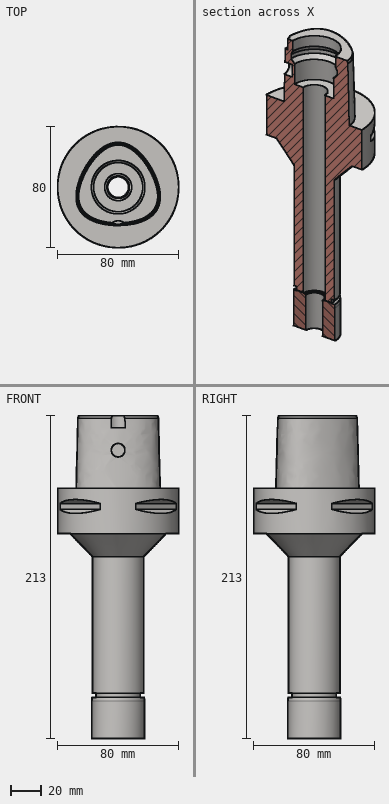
import cadquery as cq
import math

total_length = 213.0
shank_length = 47.7
flange_thickness = 30.0
cone_length = 15.1
shaft_bottom_z = 30.0
flange_top_z = total_length - shank_length
flange_bottom_z = flange_top_z - flange_thickness
cone_bottom_z = flange_bottom_z - cone_length

flange_radius = 40.0
cone_top_radius = 31.7
shaft_radius = 17.0
neck_radius = 14.7

shank_base_radius = 27.5
shank_taper = 1 / 40
lobe_height = 2.1
rim_chamfer_height = 1.7
rim_chamfer_width = 0.6
outline_points = 24

mouth_radius = 17.7
undercut_radius = 19.2
bore_radius = 16.2
lip_depth = 7.9
undercut_start_depth = 10.9
undercut_end_depth = 13.8
bore_depth = 32.0
through_radius = 9.0

keyway_radius = 6.4
keyway_depth = 8.0
keyway_floor_y = -22.2
side_hole_radius = 4.5
side_hole_z = total_length - 22.8
side_hole_floor_y = -18.3

slot_count = 4
slot_first_angle = 45
slot_floor_distance = 35.4
slot_floor_height = 3.8
slot_wall_angle = 30
slot_center_z = total_length - 59.9

nut_radius = 17.5
nut_height = 27.3
collar_height = 2.1
collar_top_radius = 17.3
nut_bore_radius = 6.8
nut_bore_chamfer = 0.6


def lobed_section(mean_radius, z):
    """Closed three-lobed outline with one lobe pointing along +Y."""
    points = []
    for i in range(outline_points):
        angle = 2 * math.pi * i / outline_points - math.pi / 2
        x = mean_radius * math.cos(angle) - lobe_height * math.sin(2 * angle)
        y = mean_radius * math.sin(angle) - lobe_height * math.cos(2 * angle)
        points.append(cq.Vector(x, y, z))
    return cq.Wire.assembleEdges([cq.Edge.makeSpline(points, periodic=True)])


def make_shank():
    """Tapered shank with a chamfered rim."""
    rim_z = total_length - rim_chamfer_height
    rim_radius = shank_base_radius - shank_taper * (rim_z - flange_top_z)
    base = lobed_section(shank_base_radius, flange_top_z)
    rim = lobed_section(rim_radius, rim_z)
    end = lobed_section(rim_radius - rim_chamfer_width, total_length)
    taper = cq.Workplane(obj=cq.Solid.makeLoft([base, rim], True))
    return taper.union(cq.Workplane(obj=cq.Solid.makeLoft([rim, end], True)))


def revolve_profile(points):
    """Turn a closed (radius, z) profile around the Z axis."""
    return cq.Workplane("XZ").polyline(points).close().revolve(360, (0, 0), (0, 1))


def make_turned_body():
    """Flange, cone, shaft and the neck that stands on the nut."""
    return revolve_profile([
        (0, flange_top_z),
        (flange_radius, flange_top_z),
        (flange_radius, flange_bottom_z),
        (cone_top_radius, flange_bottom_z),
        (shaft_radius, cone_bottom_z),
        (shaft_radius, shaft_bottom_z),
        (neck_radius, shaft_bottom_z),
        (neck_radius, nut_height),
        (0, nut_height),
    ])


def make_bore():
    """Stepped bore with a sloping-sided undercut, and the through hole."""
    lower_cone = undercut_radius - bore_radius
    lip_z = total_length - lip_depth
    undercut_top_z = total_length - undercut_start_depth
    undercut_bottom_z = total_length - undercut_end_depth
    bore_floor_z = total_length - bore_depth
    return revolve_profile([
        (0, total_length),
        (mouth_radius, total_length),
        (mouth_radius, lip_z),
        (undercut_radius, undercut_top_z),
        (undercut_radius, undercut_bottom_z),
        (bore_radius, undercut_bottom_z - lower_cone),
        (bore_radius, bore_floor_z),
        (through_radius, bore_floor_z),
        (through_radius, nut_height),
        (0, nut_height),
    ])


def make_keyway():
    """Round-backed notch in the rim."""
    return (
        cq.Workplane("XY", origin=(0, keyway_floor_y - keyway_radius, total_length - keyway_depth))
        .circle(keyway_radius)
        .extrude(keyway_depth)
    )


def make_side_hole():
    """Blind radial hole with a flat floor."""
    return (
        cq.Workplane("XZ", origin=(0, side_hole_floor_y, side_hole_z))
        .circle(side_hole_radius)
        .extrude(flange_radius)
    )


def make_gripper_slot(angle):
    """Straight slot with sloping walls, cut into the flange at the given angle."""
    floor_half = slot_floor_height / 2
    slot_depth = flange_radius - slot_floor_distance
    mouth_half = floor_half + slot_depth * math.tan(math.radians(slot_wall_angle))
    return (
        cq.Workplane("XZ")
        .polyline([
            (slot_floor_distance, slot_center_z - floor_half),
            (flange_radius, slot_center_z - mouth_half),
            (flange_radius, slot_center_z + mouth_half),
            (slot_floor_distance, slot_center_z + floor_half),
        ])
        .close()
        .extrude(flange_radius, both=True)
        .rotate((0, 0, 0), (0, 0, 1), angle)
    )


def make_holder():
    holder = make_turned_body().union(make_shank())
    holder = holder.cut(make_bore()).cut(make_keyway()).cut(make_side_hole())
    for i in range(slot_count):
        holder = holder.cut(make_gripper_slot(slot_first_angle + i * 360 / slot_count))
    return holder


def make_nut():
    """Clamping nut with a slightly tapered collar and a chamfered bore."""
    return revolve_profile([
        (nut_bore_radius, 0),
        (nut_radius, 0),
        (nut_radius, nut_height - collar_height),
        (collar_top_radius, nut_height),
        (nut_bore_radius + nut_bore_chamfer, nut_height),
        (nut_bore_radius, nut_height - nut_bore_chamfer),
    ])


holder = make_holder()
nut = make_nut()
result = cq.Compound.makeCompound([holder.val(), nut.val()])